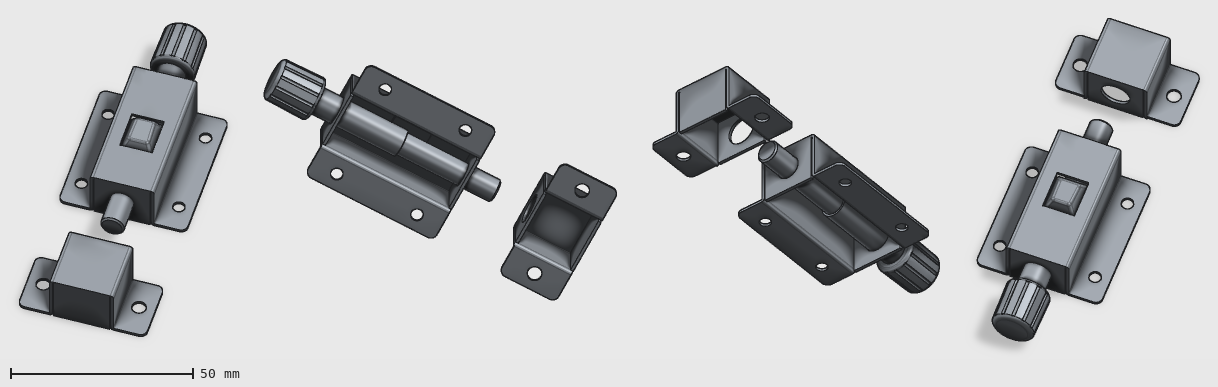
import cadquery as cq
import math

SHEET = 0.9
BEND_RADIUS = 1.0
SLIT = 0.3
OVERALL_WIDTH = 36.7
BOX_WIDTH = 18.4
BOX_HEIGHT = 15.0
FLANGE_CORNER_RADIUS = 2.0

TOTAL_LENGTH = 98.0
STRIKE_LENGTH = 18.0
STRIKE_FLANGE_SETBACK = 0.3
HOUSING_FRONT = 37.9
HOUSING_LENGTH = 40.2
HOUSING_REAR = HOUSING_FRONT + HOUSING_LENGTH
BOLT_FRONT = 28.5
KNOB_LENGTH = 13.5
KNOB_FRONT = TOTAL_LENGTH - KNOB_LENGTH

HOUSING_HOLE_DIAMETER = 3.4
HOUSING_HOLE_SPACING_X = 27.9
HOUSING_HOLE_SPACING_Y = 25.0
STRIKE_HOLE_DIAMETER = 4.0
STRIKE_HOLE_SPACING_X = 27.4

AXIS_HEIGHT = BOX_HEIGHT / 2
BOLT_DIAMETER = 6.8
BOLT_CHAMFER = 0.5
SHANK_DIAMETER = 8.0
FRONT_HOLE_DIAMETER = 7.0
REAR_HOLE_DIAMETER = 8.2
STRIKE_BOLT_HOLE_DIAMETER = 8.5

KNOB_FRONT_RADIUS = 12.8 / 2
KNOB_REAR_RADIUS = 12.3 / 2
KNOB_ROUND_LENGTH = 1.0
KNOB_FRONT_ROUND_DEPTH = 1.2
KNOB_REAR_ROUND_DEPTH = 1.6
FLUTE_COUNT = 12
FLUTE_DIAMETER = 0.9

OPENING_WIDTH = 9.2
OPENING_FRONT = 50.9
OPENING_LENGTH = 11.3
OPENING_REAR = OPENING_FRONT + OPENING_LENGTH
BUTTON_TOP_FRONT = 52.8
BUTTON_TOP_REAR = 60.3
BUTTON_TOP_WIDTH = 5.4
BUTTON_FRONT_HEIGHT = 1.1
BUTTON_REAR_HEIGHT = 1.7
BUTTON_DEPTH = 2.0
BUTTON_CORNER_RADIUS = 1.0
BUTTON_TOP_RADIUS = 0.9


def y_cylinder(diameter, y_start, y_end):
    """Cylinder on the bolt axis between two Y positions."""
    return (
        cq.Workplane("XZ", origin=(0, y_start, AXIS_HEIGHT))
        .circle(diameter / 2)
        .extrude(y_start - y_end)
    )


def block(width, y_start, y_end, z_start, z_end):
    """Block centred on X = 0 between the given Y and Z positions."""
    return cq.Workplane("XY").box(
        width, y_end - y_start, z_end - z_start, centered=(True, False, False)
    ).translate((0, y_start, z_start))


def hat_sheet(y_start, y_end):
    """Bent sheet: flange, wall, top, wall, flange, with rounded bends."""
    half_box = BOX_WIDTH / 2
    half_inside = half_box - SHEET
    half_width = OVERALL_WIDTH / 2
    inside_height = BOX_HEIGHT - SHEET
    sheet = (
        cq.Workplane("XZ", origin=(0, y_start, 0))
        .polyline([
            (-half_width, 0), (-half_inside, 0), (-half_inside, inside_height),
            (half_inside, inside_height), (half_inside, 0), (half_width, 0),
            (half_width, SHEET), (half_box, SHEET), (half_box, BOX_HEIGHT),
            (-half_box, BOX_HEIGHT), (-half_box, SHEET), (-half_width, SHEET),
        ])
        .close()
        .extrude(y_start - y_end)
    )
    middle = (y_start + y_end) / 2
    outer_bends = [(half_box, BOX_HEIGHT), (half_inside, 0)]
    inner_bends = [(half_inside, inside_height), (half_box, SHEET)]
    for bends, radius in ((outer_bends, BEND_RADIUS), (inner_bends, BEND_RADIUS - SHEET)):
        for x, z in bends:
            for side in (-1, 1):
                edge = cq.selectors.NearestToPointSelector((side * x, middle, z))
                sheet = sheet.edges("|Y").edges(edge).fillet(radius)
    return sheet


def flange_outline(y_start, y_end):
    """Rounded plan outline of a sheet part, as a tall block to intersect with."""
    return block(OVERALL_WIDTH, y_start, y_end, 0, BOX_HEIGHT).edges("|Z").fillet(FLANGE_CORNER_RADIUS)


def end_panel(y_start):
    """Panel closing one end of a box, folded down from its top."""
    width = BOX_WIDTH - 2 * (SHEET + SLIT)
    return block(width, y_start, y_start + SHEET, 0, BOX_HEIGHT)


def flange_holes(diameter, points):
    """Cutters for the mounting holes through the flanges."""
    return cq.Workplane("XY").pushPoints(points).circle(diameter / 2).extrude(SHEET)


def make_housing():
    """Flanged box, open below, closed at both ends around the bolt."""
    sheet = hat_sheet(HOUSING_FRONT, HOUSING_REAR)
    sheet = sheet.intersect(flange_outline(HOUSING_FRONT, HOUSING_REAR))
    rear_panel_start = HOUSING_REAR - SHEET
    sheet = sheet.union(end_panel(HOUSING_FRONT)).union(end_panel(rear_panel_start))
    middle = (HOUSING_FRONT + HOUSING_REAR) / 2
    hole_points = [
        (x_side * HOUSING_HOLE_SPACING_X / 2, middle + y_side * HOUSING_HOLE_SPACING_Y / 2)
        for x_side in (-1, 1)
        for y_side in (-1, 1)
    ]
    return (
        sheet.cut(flange_holes(HOUSING_HOLE_DIAMETER, hole_points))
        .cut(y_cylinder(FRONT_HOLE_DIAMETER, HOUSING_FRONT, HOUSING_FRONT + SHEET))
        .cut(y_cylinder(REAR_HOLE_DIAMETER, rear_panel_start, HOUSING_REAR))
        .cut(block(OPENING_WIDTH, OPENING_FRONT, OPENING_REAR, BOX_HEIGHT - SHEET, BOX_HEIGHT))
    )


def make_strike():
    """Flanged box that receives the bolt through its rear panel."""
    flange_rear = STRIKE_LENGTH - STRIKE_FLANGE_SETBACK
    raised_box = block(BOX_WIDTH, 0, STRIKE_LENGTH, 0, BOX_HEIGHT)
    plan = flange_outline(0, flange_rear).union(raised_box)
    rear_panel_start = STRIKE_LENGTH - SHEET
    hole_points = [(side * STRIKE_HOLE_SPACING_X / 2, STRIKE_LENGTH / 2) for side in (-1, 1)]
    return (
        hat_sheet(0, STRIKE_LENGTH)
        .intersect(plan)
        .union(end_panel(0))
        .union(end_panel(rear_panel_start))
        .cut(flange_holes(STRIKE_HOLE_DIAMETER, hole_points))
        .cut(y_cylinder(STRIKE_BOLT_HOLE_DIAMETER, rear_panel_start, STRIKE_LENGTH))
    )


def make_bolt():
    """Bolt rod that steps up inside the housing to the shank carrying the knob."""
    shank_front = (HOUSING_FRONT + HOUSING_REAR) / 2
    rod = y_cylinder(BOLT_DIAMETER, BOLT_FRONT, shank_front).faces("<Y").chamfer(BOLT_CHAMFER)
    return rod.union(y_cylinder(SHANK_DIAMETER, shank_front, KNOB_FRONT))


def end_round_middle(face_radius, depth):
    """Middle of an end round that is tangent to the end face: radius, and distance from that face."""
    round_radius = (depth**2 + KNOB_ROUND_LENGTH**2) / (2 * KNOB_ROUND_LENGTH)
    half_angle = math.asin(depth / round_radius) / 2
    return (
        face_radius + round_radius * math.sin(half_angle),
        round_radius * (1 - math.cos(half_angle)),
    )


def knob_blank():
    """Tapered grip with rounded ends, on the Y axis."""
    front_face_radius = KNOB_FRONT_RADIUS - KNOB_FRONT_ROUND_DEPTH
    rear_face_radius = KNOB_REAR_RADIUS - KNOB_REAR_ROUND_DEPTH
    front_radius, front_inset = end_round_middle(front_face_radius, KNOB_FRONT_ROUND_DEPTH)
    rear_radius, rear_inset = end_round_middle(rear_face_radius, KNOB_REAR_ROUND_DEPTH)
    return (
        cq.Workplane("XY")
        .moveTo(0, KNOB_FRONT)
        .lineTo(front_face_radius, KNOB_FRONT)
        .threePointArc(
            (front_radius, KNOB_FRONT + front_inset),
            (KNOB_FRONT_RADIUS, KNOB_FRONT + KNOB_ROUND_LENGTH),
        )
        .lineTo(KNOB_REAR_RADIUS, TOTAL_LENGTH - KNOB_ROUND_LENGTH)
        .threePointArc(
            (rear_radius, TOTAL_LENGTH - rear_inset),
            (rear_face_radius, TOTAL_LENGTH),
        )
        .lineTo(0, TOTAL_LENGTH)
        .close()
        .revolve(360, (0, 0, 0), (0, 1, 0))
    )


def make_knob():
    """Grip with round-bottomed flutes that follow its taper between the end rounds."""
    knob = knob_blank()
    fluted_length = KNOB_LENGTH - 2 * KNOB_ROUND_LENGTH
    taper = math.degrees(math.atan((KNOB_FRONT_RADIUS - KNOB_REAR_RADIUS) / fluted_length))
    mean_radius = (KNOB_FRONT_RADIUS + KNOB_REAR_RADIUS) / 2
    flute = (
        cq.Workplane("XZ")
        .circle(FLUTE_DIAMETER / 2)
        .extrude(fluted_length / 2, both=True)
        .rotate((0, 0, 0), (1, 0, 0), -taper)
        .translate((0, KNOB_FRONT + KNOB_LENGTH / 2, mean_radius))
    )
    for i in range(FLUTE_COUNT):
        knob = knob.cut(flute.rotate((0, 0, 0), (0, 1, 0), i * 360 / FLUTE_COUNT))
    return knob.translate((0, 0, AXIS_HEIGHT))


def make_button():
    """Tapered button with a crest that slopes down toward the bolt tip."""
    base = BOX_HEIGHT - BUTTON_DEPTH
    crest = BOX_HEIGHT + BUTTON_REAR_HEIGHT
    half_base = OPENING_WIDTH / 2
    half_top = BUTTON_TOP_WIDTH / 2
    side_profile = (
        cq.Workplane("YZ")
        .polyline([
            (OPENING_FRONT, base), (OPENING_REAR, base), (BUTTON_TOP_REAR, crest),
            (BUTTON_TOP_FRONT, BOX_HEIGHT + BUTTON_FRONT_HEIGHT),
        ])
        .close()
        .extrude(half_base, both=True)
    )
    front_profile = (
        cq.Workplane("XZ", origin=(0, OPENING_FRONT, 0))
        .polyline([(-half_base, base), (half_base, base), (half_top, crest), (-half_top, crest)])
        .close()
        .extrude(-OPENING_LENGTH)
    )
    button = side_profile.intersect(front_profile)
    for x in (-half_base, half_base):
        for y in (OPENING_FRONT, OPENING_REAR):
            corner = cq.selectors.NearestToPointSelector((x, y, BOX_HEIGHT))
            button = button.edges("not(#Z)").edges(corner).fillet(BUTTON_CORNER_RADIUS)
    top_face = cq.selectors.NearestToPointSelector((0, (BUTTON_TOP_FRONT + BUTTON_TOP_REAR) / 2, crest))
    return button.faces(top_face).edges().fillet(BUTTON_TOP_RADIUS)


housing = make_housing()
strike = make_strike()
bolt = make_bolt()
knob = make_knob()
button = make_button()

result = cq.Compound.makeCompound([housing.val(), strike.val(), bolt.val(), knob.val(), button.val()])